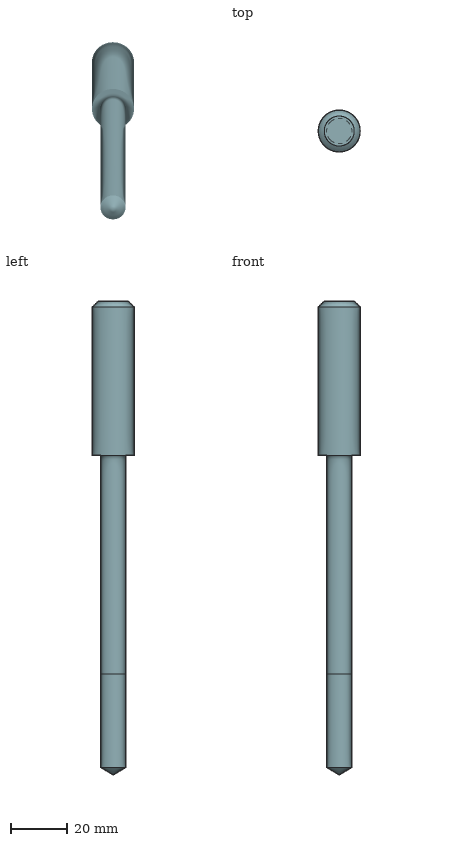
import cadquery as cq
import math

total_length = 169.0

head_diameter = 15.0
head_length = 55.0
head_chamfer = 2.15

rod_diameter = 9.0
tip_length = 36.0
point_angle = 118.0

rod_length = total_length - head_length - tip_length
point_height = rod_diameter / 2 / math.tan(math.radians(point_angle / 2))


def make_holder():
    """Chamfered head with the slimmer rod below it, ending flat where the tip begins."""
    rod = cq.Workplane("XY").workplane(offset=tip_length).circle(rod_diameter / 2).extrude(rod_length)
    head = (
        cq.Workplane("XY")
        .workplane(offset=tip_length + rod_length)
        .circle(head_diameter / 2)
        .extrude(head_length)
        .faces(">Z")
        .chamfer(head_chamfer)
    )
    return rod.union(head)


def make_tip():
    """Cylinder with a conical point, revolved from its half profile (radius, height)."""
    tip_radius = rod_diameter / 2
    return (
        cq.Workplane("XZ")
        .moveTo(0, 0)
        .lineTo(tip_radius, point_height)
        .lineTo(tip_radius, tip_length)
        .lineTo(0, tip_length)
        .close()
        .revolve(360, (0, 0, 0), (0, 1, 0))
    )


holder = make_holder()
tip = make_tip()

result = cq.Compound.makeCompound([holder.val(), tip.val()])